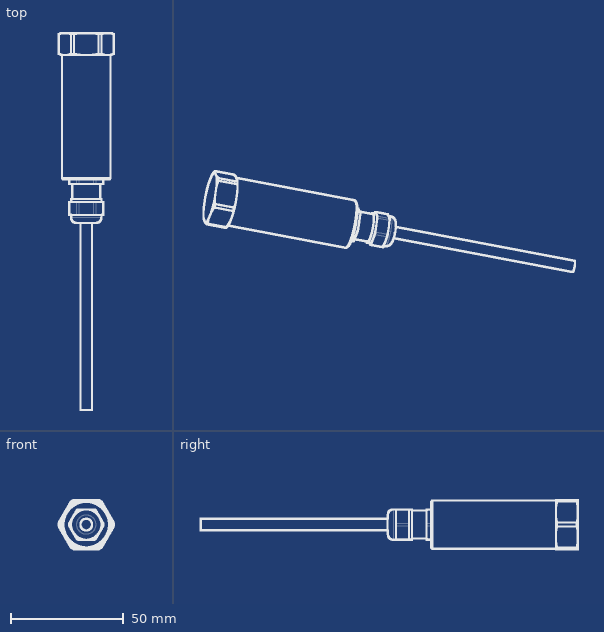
import cadquery as cq
import math

total_length = 167.3
end_y = total_length / 2

head_end = 9.7
body_end = 65.1
base_hex_end = 67.1
neck_end = 73.6
collar_end = 75.0
nut_end = 80.7
cap_end = 84.3

body_diameter = 21.6
neck_diameter = 12.5
cap_diameter = 13.5
cable_diameter = 5.2

head_flats = 22.0
head_corners = 24.5
gland_flats = cap_diameter
gland_corner_radius = 1.2

body_chamfer = 0.7
cap_fillet = 2.5
head_corner_bevel_depth = 0.5
head_face_diameter = 22.5


def section_plane(start):
    """Plane at a distance from the +Y end, with its normal toward -Y."""
    return cq.Workplane("XZ", origin=(0, end_y - start, 0))


def cylinder(start, end, diameter):
    return section_plane(start).circle(diameter / 2).extrude(end - start)


def hexagon(start, end, flats):
    """Hexagonal prism with flats facing +Z and -Z."""
    point_diameter = flats / math.cos(math.pi / 6)
    return section_plane(start).polygon(6, point_diameter).extrude(end - start)


def gland_hex(start, end):
    """Small hexagon with its corners filleted."""
    return hexagon(start, end, gland_flats).edges("|Y").fillet(gland_corner_radius)


def head():
    """Large hex with its corners turned round and bevelled at both ends."""
    face_radius = head_face_diameter / 2
    corner_radius = head_corners / 2
    inner_y = end_y - head_end
    envelope = (
        cq.Workplane("XY")
        .moveTo(0, end_y)
        .lineTo(face_radius, end_y)
        .lineTo(corner_radius, end_y - head_corner_bevel_depth)
        .lineTo(corner_radius, inner_y + head_corner_bevel_depth)
        .lineTo(face_radius, inner_y)
        .lineTo(0, inner_y)
        .close()
        .revolve(360, (0, 0, 0), (0, 1, 0))
    )
    return hexagon(0, head_end, head_flats).intersect(envelope)


body = cylinder(head_end, body_end, body_diameter).faces("<Y").chamfer(body_chamfer)
base_hex = gland_hex(body_end, base_hex_end)
neck = cylinder(base_hex_end, neck_end, neck_diameter)
collar = cylinder(neck_end, collar_end, cap_diameter)
nut = gland_hex(collar_end, nut_end)
cap = cylinder(nut_end, cap_end, cap_diameter).faces("<Y").edges().fillet(cap_fillet)
cable = cylinder(cap_end, total_length, cable_diameter)

result = head()
for section in (body, base_hex, neck, collar, nut, cap, cable):
    result = result.union(section)